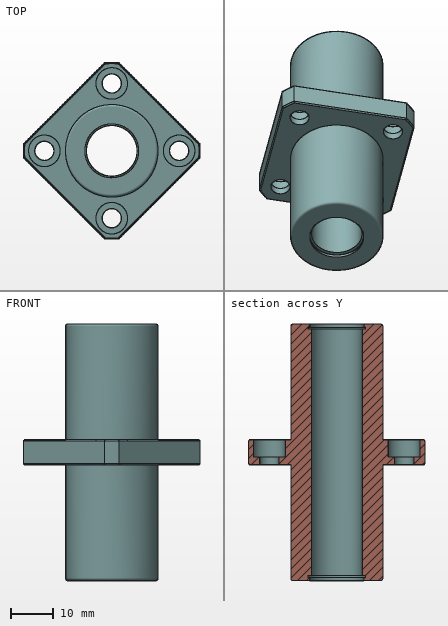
import cadquery as cq
import math

sleeve_diameter = 22.0
sleeve_length = 61.0
rim_fillet = 0.6
bore_diameter = 12.0
lip_diameter = 12.8
lip_height = 0.8
groove_diameter = 13.6
groove_height = 0.4

flange_width = 32.0
flange_diameter = 42.0
flange_thickness = 6.0
flange_chamfer = 0.3

hole_circle_diameter = 32.0
hole_count = 4
hole_diameter = 4.5
counterbore_diameter = 7.5
counterbore_depth = 4.1


def make_sleeve():
    """Solid cylinder centred on the origin with rounded end rims."""
    sleeve = cq.Workplane("XY").circle(sleeve_diameter / 2).extrude(sleeve_length / 2, both=True)
    return sleeve.faces("|Z").edges().fillet(rim_fillet)


def make_flange():
    """Square plate with its corners turned off to the flange diameter."""
    square = cq.Workplane("XY").rect(flange_width, flange_width)
    square = square.extrude(flange_thickness / 2, both=True)
    square = square.rotate((0, 0, 0), (0, 0, 1), 45)
    disc = cq.Workplane("XY").circle(flange_diameter / 2).extrude(flange_thickness / 2, both=True)
    return square.intersect(disc).faces("|Z").edges().chamfer(flange_chamfer)


def cut_bore(body):
    """Through bore with, at each end, a wider lip opening and an undercut groove behind it."""
    bore = cq.Workplane("XY").circle(bore_diameter / 2).extrude(sleeve_length / 2, both=True)
    lip_opening = cq.Workplane("XY", origin=(0, 0, sleeve_length / 2 - lip_height))
    lip_opening = lip_opening.circle(lip_diameter / 2).extrude(lip_height)
    groove = cq.Workplane("XY", origin=(0, 0, sleeve_length / 2 - lip_height - groove_height))
    groove = groove.circle(groove_diameter / 2).extrude(groove_height)
    end_recess = lip_opening.union(groove)
    return body.cut(bore).cut(end_recess).cut(end_recess.mirror("XY"))


def cut_mounting_holes(flange):
    """Holes on the X and Y axes, counterbored from the top of the flange."""
    for index in range(hole_count):
        angle = 2 * math.pi * index / hole_count
        x = hole_circle_diameter / 2 * math.cos(angle)
        y = hole_circle_diameter / 2 * math.sin(angle)
        top = cq.Workplane("XY", origin=(x, y, flange_thickness / 2))
        flange = flange.cut(top.circle(hole_diameter / 2).extrude(-flange_thickness))
        flange = flange.cut(top.circle(counterbore_diameter / 2).extrude(-counterbore_depth))
    return flange


flange = cut_mounting_holes(make_flange())
result = cut_bore(make_sleeve().union(flange))